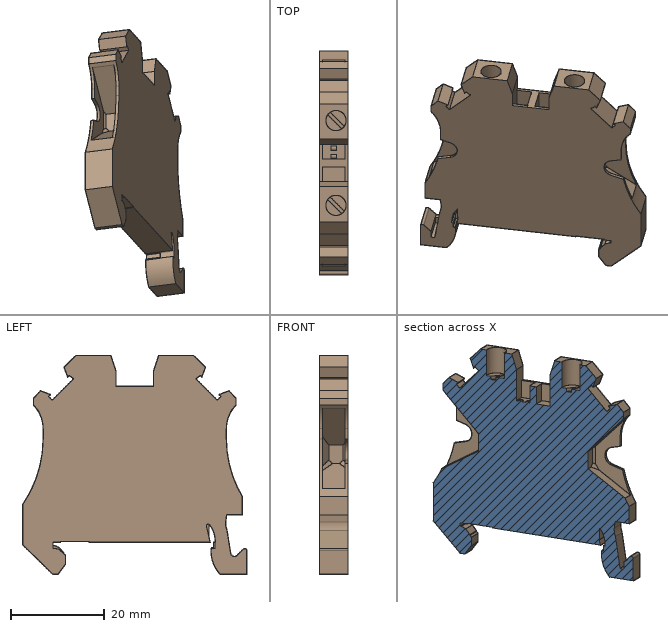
import cadquery as cq
import math

thickness = 6.15
length = 48.0
height = 46.85
half_length = length / 2

top_inner = 5.1
top_outer = 12.6
notch_half = 4.0
notch_floor = 40.3
notch_shoulder = 43.5
waist = 19.65
waist_top_z = 31.2
waist_low_z = 29.0
lip = 21.7
lip_low_z = 36.25
lip_high_z = 37.7
shoulder_rear_z = 15.0
shoulder_front = 23.05
shoulder_front_z = 16.65
rail_z = 6.85
recess_depth = 0.15
recess_start = 9.8
recess_end = 15.9

wall = 0.65
entry_width = 4.8
entry_top_z = 36.15
entry_bottom = 22.05
entry_bottom_z = 18.45
back = 13.25
back_top_z = entry_top_z - (lip - back)
back_bottom_z = 23.7
back_half_width = 1.55
back_corner = 0.75
screw_x = 3.55
side_spread = 0.77
corner_spread = 0.74
floor_spread = 0.86
entry_clearance = 1.45

window_y = 18.0
window_z = 26.45
window_radius = 2.0
window_flare = math.radians(15)

screw_y = 9.05
screw_radius = 2.15
well_depth = 5.75
slot_width = 0.75
slot_depth = 0.7
slot_angle = -45

divider_half = 0.8
pocket_depth = 3.85
rib_length = 1.2
rib_radius = 0.6
rib_axis_depth = 0.35
rib_positions = (1.4, 3.1)

step_depth = thickness / 2

foot_root_z = 12.7
foot_face_top = (-19.8, 9.4)
foot_face_low = (-20.55, 4.55)
valley_outer = -21.7
valley_rim_z = 3.95
valley_floor_z = 2.4
web_thickness = 1.0


def arc_point(tangent, end):
    """Midpoint of the arc that leaves `tangent` along Z and reaches `end`."""
    dy = end[0] - tangent[0]
    dz = end[1] - tangent[1]
    radius = (dy**2 + dz**2) / (2 * abs(dy))
    half_angle = math.asin(abs(dz) / radius) / 2
    outward = math.copysign(1, dy)
    upward = math.copysign(1, dz)
    return (
        tangent[0] + outward * radius * (1 - math.cos(half_angle)),
        tangent[1] + upward * radius * math.sin(half_angle),
    )


def mirrored(points):
    """The same points on the -Y side, in reverse order."""
    return [(-y, z) for y, z in reversed(points)]


def lengthwise(points, start, depth):
    """Prism of a YZ polygon, running along X from `start`."""
    return cq.Workplane("YZ", origin=(start, 0, 0)).polyline(points).close().extrude(depth)


def both_ends(shape):
    """A shape together with its mirror image at the other end."""
    return shape.union(shape.mirror("XZ"))


def make_housing():
    crown = [
        (lip, lip_low_z),
        (lip, lip_high_z),
        (20.15, 39.3),
        (18.0, 38.5),
        (18.4, 38.05),
        (17.65, 37.3),
        (13.1, 41.85),
        (14.0, 42.55),
        (14.35, 42.2),
        (15.15, 44.35),
        (top_outer, height),
        (top_inner, height),
        (notch_half, notch_shoulder),
        (notch_half, notch_floor),
    ]
    waist_top = (waist, waist_top_z)
    waist_low = (waist, waist_low_z)
    front_waist_top = (-waist, waist_top_z)
    front_waist_low = (-waist, waist_low_z)
    front_lip = (-lip, lip_low_z)
    rear_shoulder = (half_length, shoulder_rear_z)
    front_shoulder = (-shoulder_front, shoulder_front_z)
    outline = (
        cq.Workplane("YZ")
        .moveTo(*rear_shoulder)
        .threePointArc(arc_point(waist_low, rear_shoulder), waist_low)
        .lineTo(*waist_top)
        .threePointArc(arc_point(waist_top, crown[0]), crown[0])
    )
    for point in crown[1:] + mirrored(crown):
        outline = outline.lineTo(*point)
    outline = (
        outline
        .threePointArc(arc_point(front_waist_top, front_lip), front_waist_top)
        .lineTo(*front_waist_low)
        .threePointArc(arc_point(front_waist_low, front_shoulder), front_shoulder)
        .lineTo(-shoulder_front, foot_root_z)
        .lineTo(-19.7, foot_root_z)
        .lineTo(-19.5, 11.25)
        .threePointArc((-19.55, 10.25), foot_face_top)
        .lineTo(*foot_face_low)
        .tangentArcPoint((valley_outer, valley_rim_z), relative=False)
        .lineTo(-23.25, 5.4)
        .threePointArc((-23.75, 5.45), (-half_length, 5.1))
        .lineTo(-half_length, 0)
        .lineTo(-18.3, 0)
        .threePointArc((-16.8, 2.3), (-16.3, 5.5))
        .lineTo(-17.15, 5.5)
        .lineTo(-17.2, 7.1)
        .threePointArc((-16.9, 8.95), (-16.05, 10.55))
        .threePointArc((-15.6, 10.75), (-15.3, 10.35))
        .lineTo(-16.2, rail_z)
        .lineTo(recess_start, rail_z)
        .lineTo(recess_start, rail_z + recess_depth)
        .lineTo(recess_end, rail_z + recess_depth)
        .lineTo(recess_end, rail_z)
        .lineTo(17.45, rail_z)
        .lineTo(17.45, 5.6)
        .lineTo(16.25, 5.4)
        .lineTo(14.8, 4.1)
        .lineTo(14.8, 2.2)
        .lineTo(16.4, 0)
        .lineTo(17.5, 0)
        .lineTo(half_length, 6.35)
        .close()
    )
    return outline.extrude(thickness)


def make_grip_steps():
    """Slightly fuller hook, spring slot and foot on the +X half."""
    hook = [
        (17.45, 5.6),
        (17.45, 6.25),
        (17.2, 6.25),
        (16.2, 5.75),
        (15.15, 4.6),
        (15.15, 4.3),
        (16.25, 5.4),
    ]
    slot = [(-14.9, 10.1), (-15.1, 11.3), (-15.95, 11.3), (-15.9, 8.05)]
    foot = [(-16.45, 5.3), (-16.45, 5.75), (-16.85, 5.75), (-16.85, 6.9), (-17.4, 6.9), (-17.4, 5.3)]
    start = thickness - step_depth
    steps = lengthwise(hook, start, step_depth)
    for profile in (slot, foot):
        steps = steps.union(lengthwise(profile, start, step_depth))
    return steps


def make_hook_valley():
    """Deeper floor of the release hook's valley, behind the web."""
    lean = (foot_face_top[0] - foot_face_low[0]) / (foot_face_top[1] - foot_face_low[1])
    wall_foot = foot_face_low[0] - lean * (foot_face_low[1] - valley_floor_z)
    valley = [
        foot_face_low,
        (wall_foot, valley_floor_z),
        (valley_outer, valley_floor_z),
        (valley_outer, valley_rim_z),
    ]
    return lengthwise(valley, web_thickness, thickness - web_thickness)


def make_entry():
    """Conductor entry at the -Y end: a wedge closing on a chamfered back."""
    mouth = half_length + entry_clearance
    floor_slope = (back_bottom_z - entry_bottom_z) / (entry_bottom - back)
    wedge = lengthwise(
        [
            (-back, back_top_z),
            (-back, back_bottom_z),
            (-mouth, back_bottom_z - floor_slope * (mouth - back)),
            (-mouth, entry_top_z),
            (-lip, entry_top_z),
        ],
        wall,
        entry_width,
    )

    def throat_section(reach):
        side = back_half_width + side_spread * reach
        floor = back_bottom_z - floor_slope * reach
        corner_z = back_bottom_z + back_corner - corner_spread * reach
        corner_x = back_half_width - back_corner + floor_spread * reach
        section = [
            (screw_x - side, height),
            (screw_x - side, corner_z),
            (screw_x - corner_x, floor),
            (screw_x + corner_x, floor),
            (screw_x + side, corner_z),
            (screw_x + side, height),
        ]
        corners = [cq.Vector(x, -back - reach, z) for x, z in section]
        return cq.Wire.makePolygon(corners, close=True)

    throat = cq.Solid.makeLoft([throat_section(0), throat_section(mouth - back)], True)
    return wedge.intersect(cq.Workplane(throat))


def make_window():
    """Opening in the +X wall at the -Y end, flaring toward the end."""
    mouth = half_length + entry_clearance
    tangent_y = -window_y + window_radius * math.sin(window_flare)
    tangent_rise = window_radius * math.cos(window_flare)
    mouth_rise = tangent_rise + (mouth + tangent_y) * math.tan(window_flare)
    return (
        cq.Workplane("YZ", origin=(wall + entry_width / 2, 0, 0))
        .moveTo(-mouth, window_z - mouth_rise)
        .lineTo(tangent_y, window_z - tangent_rise)
        .threePointArc((-window_y + window_radius, window_z), (tangent_y, window_z + tangent_rise))
        .lineTo(-mouth, window_z + mouth_rise)
        .close()
        .extrude(thickness)
    )


def make_screw_well(y):
    floor_z = height - well_depth
    well = cq.Workplane("XY", origin=(screw_x, y, floor_z)).circle(screw_radius).extrude(well_depth)
    head = well.translate((0, 0, -slot_depth))
    bar = (
        cq.Workplane("XY")
        .box(2 * screw_radius, slot_width, slot_depth, centered=(True, True, False))
        .rotate((0, 0, 0), (0, 0, 1), slot_angle)
        .translate((screw_x, y, floor_z - slot_depth))
    )
    return well.union(bar.intersect(head))


def make_marker_pocket():
    """Pocket on the -Y side of the divider."""
    return (
        cq.Workplane("XY")
        .box(entry_width, notch_half - divider_half, pocket_depth, centered=False)
        .translate((wall, -notch_half, notch_floor - pocket_depth))
    )


def make_rib(y):
    """Round-topped rib lying along X on the floor of the rear marker pocket."""
    start = (thickness - rib_length) / 2
    return (
        cq.Workplane("YZ", origin=(start, y, notch_floor - pocket_depth - rib_axis_depth))
        .circle(rib_radius)
        .extrude(rib_length)
    )


result = make_housing().union(make_grip_steps())
result = result.cut(make_hook_valley())
result = result.cut(both_ends(make_entry()))
result = result.cut(both_ends(make_window()))
result = result.cut(both_ends(make_marker_pocket()))
for y in (-screw_y, screw_y):
    result = result.cut(make_screw_well(y))
for y in rib_positions:
    result = result.union(make_rib(y))